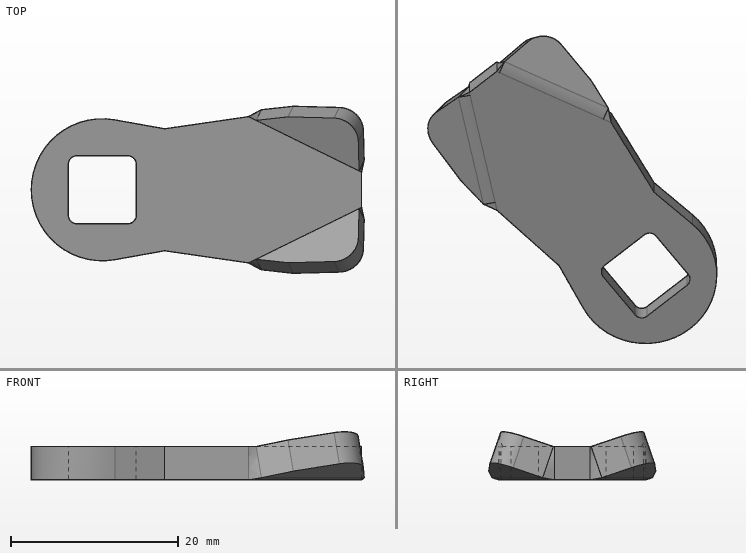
import cadquery as cq
import math

thickness = 4.0
head_radius = 8.5
hole_size = 8.1
hole_corner_radius = 1.0
waist_x = 7.45
waist_half_width = 7.3
shoulder_x = 17.46
shoulder_half_width = 8.75
end_x = 31.0
end_half_width = 2.1

fold_angle = 20.9
wing_rear_inset = 1.03
wing_front_inset = 0.355
wing_knee_x = 22.25
wing_half_width = 8.845
wing_corner_radius = 2.85

fold_dx = end_x - shoulder_x
fold_dy = end_half_width - shoulder_half_width
fold_length = math.hypot(fold_dx, fold_dy)


def fold_point(distance):
    """Plan position on the fold line, measured from the shoulder."""
    ratio = distance / fold_length
    return (shoulder_x + ratio * fold_dx, shoulder_half_width + ratio * fold_dy)


shoulder = fold_point(0)
plate_end = fold_point(fold_length)
wing_rear = fold_point(wing_rear_inset)
wing_front = fold_point(fold_length - wing_front_inset)


def at_height(point, z):
    return cq.Vector(point[0], point[1], z)


def make_plate():
    """Round head, narrow waist and a tail that tapers along both fold lines."""
    waist_distance = math.hypot(waist_x, waist_half_width)
    tangent_angle = math.atan2(waist_half_width, waist_x) + math.acos(head_radius / waist_distance)
    tangent_x = head_radius * math.cos(tangent_angle)
    tangent_y = head_radius * math.sin(tangent_angle)
    return (
        cq.Workplane("XY")
        .moveTo(tangent_x, tangent_y)
        .lineTo(waist_x, waist_half_width)
        .lineTo(*shoulder)
        .lineTo(*plate_end)
        .lineTo(plate_end[0], -plate_end[1])
        .lineTo(shoulder[0], -shoulder[1])
        .lineTo(waist_x, -waist_half_width)
        .lineTo(tangent_x, -tangent_y)
        .threePointArc((-head_radius, 0), (tangent_x, tangent_y))
        .close()
        .extrude(thickness)
    )


def make_hole():
    return (
        cq.Workplane("XY")
        .rect(hole_size, hole_size)
        .extrude(thickness)
        .edges("|Z")
        .fillet(hole_corner_radius)
    )


def fold_up(shape):
    """Turn a shape upward about the fold line."""
    return shape.rotate(at_height(shoulder, thickness), at_height(plate_end, thickness), fold_angle)


def make_wing():
    """Flat wing with one rounded corner, folded up."""
    flat_wing = (
        cq.Workplane("XY")
        .moveTo(*wing_rear)
        .lineTo(wing_knee_x, wing_half_width)
        .lineTo(wing_front[0] - wing_corner_radius, wing_half_width)
        .radiusArc((wing_front[0], wing_half_width - wing_corner_radius), wing_corner_radius)
        .lineTo(*wing_front)
        .close()
        .extrude(thickness)
    )
    return fold_up(flat_wing)


def make_bend():
    """Circular sector that fills the fold between the plate and the wing."""
    fold_plane = cq.Plane(
        origin=at_height(wing_rear, thickness),
        xDir=(fold_dx, fold_dy, 0),
        normal=(fold_dy, -fold_dx, 0),
    )
    wing_length = fold_length - wing_rear_inset - wing_front_inset
    return (
        cq.Workplane(fold_plane)
        .moveTo(0, 0)
        .lineTo(wing_length, 0)
        .lineTo(wing_length, -thickness)
        .lineTo(0, -thickness)
        .close()
        .revolve(fold_angle, (0, 0, 0), (1, 0, 0))
    )


def polygon_face(*points):
    return cq.Face.makeFromWires(cq.Wire.makePolygon(points, close=True))


def make_bend_end(plate_corner, wing_corner):
    """Corner filler whose twisted outer face joins the plate edge to the folded wing edge."""
    plate_bottom = at_height(plate_corner, 0)
    plate_top = at_height(plate_corner, thickness)
    flat_bottom = at_height(wing_corner, 0)
    wing_top = at_height(wing_corner, thickness)
    wing_bottom = fold_up(cq.Vertex.makeVertex(*flat_bottom.toTuple())).Center()

    plate_edge = cq.Edge.makeLine(plate_bottom, plate_top)
    wing_edge = cq.Edge.makeLine(wing_bottom, wing_top)
    faces = [
        polygon_face(plate_bottom, plate_top, wing_top, flat_bottom),
        polygon_face(plate_bottom, flat_bottom, wing_bottom),
        polygon_face(flat_bottom, wing_top, wing_bottom),
        cq.Face.makeRuledSurface(plate_edge, wing_edge),
    ]
    filler = cq.Solid.makeSolid(cq.Shell.makeShell(faces))
    return cq.Workplane("XY").newObject([filler.fix()])


folded_side = (
    make_wing()
    .union(make_bend())
    .union(make_bend_end(shoulder, wing_rear))
    .union(make_bend_end(plate_end, wing_front))
)

result = make_plate().cut(make_hole()).union(folded_side).union(folded_side.mirror("XZ"))